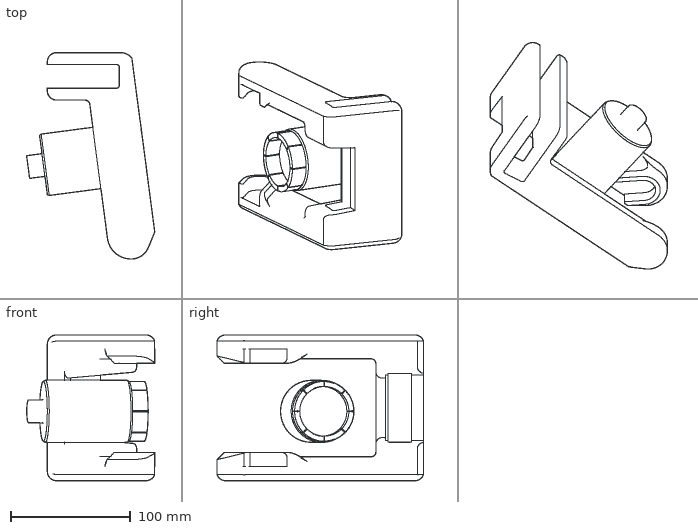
import cadquery as cq
import math

height = 122.0
length = 172.5
slot_width = 19.5
jaw_thickness = 10.2
slot_depth = 60.0
slot_corner_radius = 1.9
jaw_end_radius = 8.0
back_corner_start = 61.3
back_corner_drop = 5.0

tilt = 7.5
arm_radius = 20.0
tip_x = 70.0
arm_thickness = 20.2
tip_flat_angle = 30.0
inner_round = 8.3
far_round = 4.0
root_fillet = 4.0

rim_radius = 8.0
rim_overhang = 0.5

hook_height = 3.6
hook_radius = 14.0
hook_slope = 45.0
hook_tip_fillet = 1.0
channel_radius = 10.0
channel_floor = 11.9
channel_angle = 47.0
channel_length = 69.0

window_x = 19.5
window_half_height = 25.0
window_draft = 5.0
window_flare = 5.0
window_depth = 8.1
window_round = 5.5
notch_x = 44.7

roller_radius = 52.0 / 2
roller_length = 72.0
roller_z = -3.0
stub_end_x = -16.0
stub_end_y = -75.7
stub_radius = 19.3 / 2
stub_length = 13.0
stub_tip_fillet = 1.0
stub_root_fillet = 1.2
roller_chamfer_length = 1.5
collar_radius = 25.0
collar_length = 13.1
collar_bore_radius = 20.7
slit_width = 0.7
slit_count = 8

half_height = height / 2
back_y = slot_width / 2 + jaw_thickness
front_y = -back_y
tip_y = back_y - length + arm_radius
arm_inner = half_height - arm_thickness
hook_top = arm_inner - hook_height
tan_tilt = math.tan(math.radians(tilt))
cos_tilt = math.cos(math.radians(tilt))
sin_tilt = math.sin(math.radians(tilt))
beyond = 2 * length
near = 0.03


def arm_point(across, along):
    """Point given across and along the tilted arm, measured from the tip centre."""
    return (
        tip_x + across * cos_tilt - along * sin_tilt,
        tip_y + across * sin_tilt + along * cos_tilt,
    )


def wall_x(across, y):
    """X where the straight arm wall at this distance across the arm crosses the given Y."""
    return tip_x + across / cos_tilt - (y - tip_y) * tan_tilt


def small_arc_point(angle):
    """Point on the smaller tip arc, which touches the flat and the lowest point of the tip round.

    The angle is measured clockwise from the across-arm axis.
    """
    flat = math.radians(tip_flat_angle)
    lean = math.sin(flat - math.radians(tilt))
    radius = arm_radius * (math.cos(flat) - lean) / (1 - lean)
    centre_y = tip_y - arm_radius + radius
    a = math.radians(angle - tilt)
    return (tip_x + radius * math.cos(a), centre_y - radius * math.sin(a))


def large_arc_point(angle):
    """Point on the main tip arc, at this angle clockwise from the across-arm axis."""
    a = math.radians(angle)
    return arm_point(arm_radius * math.cos(a), -arm_radius * math.sin(a))


def outline_block(free_end_x=0):
    """Full-height block of the clamp outline with rounded jaw ends at the given X."""
    corner_y = back_y - back_corner_drop
    lowest = 90 + tilt
    block = (
        cq.Workplane("XY", origin=(0, 0, -half_height))
        .moveTo(free_end_x, back_y)
        .lineTo(back_corner_start, back_y)
        .tangentArcPoint((wall_x(arm_radius, corner_y), corner_y), relative=False)
        .lineTo(*arm_point(arm_radius, 0))
        .lineTo(*small_arc_point(tip_flat_angle))
        .threePointArc(small_arc_point((lowest + tip_flat_angle) / 2), small_arc_point(lowest))
        .threePointArc(large_arc_point((lowest + 180) / 2), large_arc_point(180))
        .lineTo(wall_x(-arm_radius, front_y), front_y)
        .lineTo(free_end_x, front_y)
        .close()
        .extrude(height)
    )
    return block.edges("|Z and <X").fillet(jaw_end_radius)


def rim_envelope():
    """Block that overhangs all walls but the free jaw ends; its full rim rounds leave the rim arc."""
    inner_corner = (wall_x(-arm_radius, front_y), front_y, 0)
    block = outline_block(rim_overhang)
    block = block.edges(cq.selectors.NearestToPointSelector(inner_corner)).fillet(root_fillet)
    outline = block.faces("<Z").wires().toPending()
    envelope = outline.offset2D(rim_overhang).extrude(height, combine=False)
    return envelope.faces("<Z or >Z").edges().fillet(rim_radius)


def front_face_edges(body):
    """Edges of the clamp that lie in the outer face of the front jaw."""
    edges = []
    for edge in body.edges().vals():
        box = edge.BoundingBox()
        if max(abs(box.ymin - front_y), abs(box.ymax - front_y)) < near:
            edges.append(edge)
    return edges


def arms_and_jaws():
    """Outline block with the space between the arms cut out and its edges rounded."""
    gap = cq.Workplane("XY").box(beyond, beyond, 2 * arm_inner).translate((0, front_y - beyond / 2, 0))
    body = outline_block().cut(gap)
    for side in (1, -1):
        arm_edge = (*arm_point(-arm_radius, length / 3), side * arm_inner)
        body = body.edges(cq.selectors.NearestToPointSelector(arm_edge)).fillet(inner_round)
    arm_left = wall_x(-arm_radius, front_y)
    root_edges = []
    for edge in front_face_edges(body):
        centre = edge.Center()
        if centre.x > arm_left - near and arm_inner - near < abs(centre.z) < half_height - near:
            root_edges.append(edge)
    body = body.newObject(root_edges).fillet(root_fillet)
    return body.intersect(rim_envelope())


def jaw_slot():
    """Slot between the jaw plates, open at their free ends."""
    slot = cq.Workplane("XY").box(2 * slot_depth, slot_width, 2 * height)
    return slot.edges("|Z and >X").fillet(slot_corner_radius)


def window_wedge(x_start):
    """Wedge along Y that widens towards +X, starting at the given X."""
    x_end = length

    def half(x):
        return window_half_height + (x - window_x) * math.tan(math.radians(window_draft))

    return (
        cq.Workplane("XZ")
        .moveTo(x_start, -half(x_start))
        .lineTo(x_end, -half(x_end))
        .lineTo(x_end, half(x_end))
        .lineTo(x_start, half(x_start))
        .close()
        .extrude(beyond, both=True)
    )


def window():
    """Window in the front jaw with a leaning left wall, joined to the notch behind it."""
    jaw_part = (
        cq.Workplane("XY")
        .moveTo(window_x - window_flare, front_y)
        .lineTo(length, front_y)
        .lineTo(length, front_y + window_depth)
        .lineTo(window_x, front_y + window_depth)
        .close()
        .extrude(height, both=True)
    )
    notch = window_wedge(notch_x)
    behind_front_face = cq.Workplane("XY").box(beyond, beyond, beyond)
    behind_front_face = behind_front_face.translate((0, front_y + beyond / 2, 0))
    return window_wedge(0).intersect(jaw_part).union(notch.intersect(behind_front_face))


def round_window(body):
    """Round the front edges of the window's upper and lower walls."""
    walls = []
    for edge in front_face_edges(body):
        runs_along_x = edge.BoundingBox().xlen > near
        if runs_along_x and window_half_height < abs(edge.Center().z) < hook_top - near:
            walls.append(edge)
    return body.newObject(walls).fillet(window_round)


def round_far_edges(body):
    """Round the inner edges along the far arm wall, from the tip round to the window."""
    chosen = []
    for edge in body.edges().vals():
        centre = edge.Center()
        box = edge.BoundingBox()
        on_wall = abs(wall_x(arm_radius, centre.y) - centre.x) < near
        if on_wall and box.ymin < front_y + jaw_thickness and abs(centre.z) < arm_inner + inner_round:
            chosen.append(edge)
    return body.newObject(chosen).fillet(far_round)


def channel_shape(radius, start_z):
    """Round-ended strip at the arm tip that runs off towards the channel's open end."""
    direction = tilt + channel_angle
    return (
        cq.Workplane("XY", origin=(tip_x, tip_y, start_z))
        .transformed(rotate=(0, 0, direction))
        .moveTo(0, radius)
        .threePointArc((-radius, 0), (0, -radius))
        .lineTo(channel_length, -radius)
        .lineTo(channel_length, radius)
        .close()
    )


def hook():
    """Raised rim around the upper channel, with sloping outer walls and a rounded far end."""
    rise = hook_height + inner_round
    rim_middle = (hook_radius + channel_radius) / 2
    angle = math.radians(channel_angle)
    far_end_along = arm_radius * math.tan(angle) + rim_middle / math.cos(angle)
    rim = channel_shape(hook_radius, hook_top).extrude(rise, taper=-hook_slope)
    rim = rim.intersect(outline_block()).cut(channel())
    far_end = (*arm_point(arm_radius, far_end_along), hook_top)
    return rim.edges(cq.selectors.NearestToPointSelector(far_end)).fillet(far_round)


def channel():
    """Channel cut into the inner side of the upper arm tip."""
    depth = half_height - channel_floor - hook_top
    return channel_shape(channel_radius, hook_top).extrude(depth)


def round_hook_tips(body):
    """Round the sharp upright edge where each channel leaves through the far arm wall."""
    angle = math.radians(channel_angle)
    tip_along = arm_radius * math.tan(angle) - channel_radius / math.cos(angle)
    tip_middle = (hook_top + half_height - channel_floor) / 2
    for side in (1, -1):
        tip = (*arm_point(arm_radius, tip_along), side * tip_middle)
        body = body.edges("|Z").edges(cq.selectors.NearestToPointSelector(tip)).fillet(hook_tip_fillet)
    return body


def make_clamp():
    body = arms_and_jaws().cut(jaw_slot()).cut(window())
    body = round_far_edges(round_window(body))
    upper_hook = hook()
    upper_channel = channel()
    body = body.union(upper_hook).union(upper_hook.mirror("XY"))
    body = body.cut(upper_channel).cut(upper_channel.mirror("XY"))
    return round_hook_tips(body)


def make_roller():
    """Stepped roller along its own axis from the stub's free end, then set in place."""
    face = stub_length
    body_end = face + roller_length
    end = body_end + collar_length
    step = roller_radius - collar_radius
    body = (
        cq.Workplane("XY")
        .moveTo(face, 0)
        .lineTo(face, roller_radius - step)
        .lineTo(face + roller_chamfer_length, roller_radius)
        .lineTo(body_end - roller_chamfer_length, roller_radius)
        .lineTo(body_end, collar_radius)
        .lineTo(end, collar_radius)
        .lineTo(end, collar_bore_radius)
        .lineTo(body_end, collar_bore_radius)
        .lineTo(body_end, 0)
        .close()
        .revolve(360, (0, 0, 0), (1, 0, 0))
    )
    stub = cq.Workplane("YZ").circle(stub_radius).extrude(stub_length).faces("<X").edges().fillet(stub_tip_fillet)
    body = body.union(stub)
    root = cq.selectors.BoxSelector(
        (face - near, -stub_radius - near, -stub_radius - near),
        (face + near, stub_radius + near, stub_radius + near),
        boundingbox=True,
    )
    body = body.edges(root).fillet(stub_root_fillet)
    slit = (
        cq.Workplane("XY")
        .box(collar_length, 2 * roller_radius, slit_width, centered=(False, False, True))
        .translate((body_end, 0, 0))
    )
    for index in range(slit_count):
        body = body.cut(slit.rotate((0, 0, 0), (1, 0, 0), index * 360 / slit_count))
    body = body.rotate((0, 0, 0), (0, 0, 1), tilt)
    return body.translate((stub_end_x, stub_end_y, roller_z))


clamp = make_clamp()
roller = make_roller()

result = cq.Compound.makeCompound([clamp.val(), roller.val()])